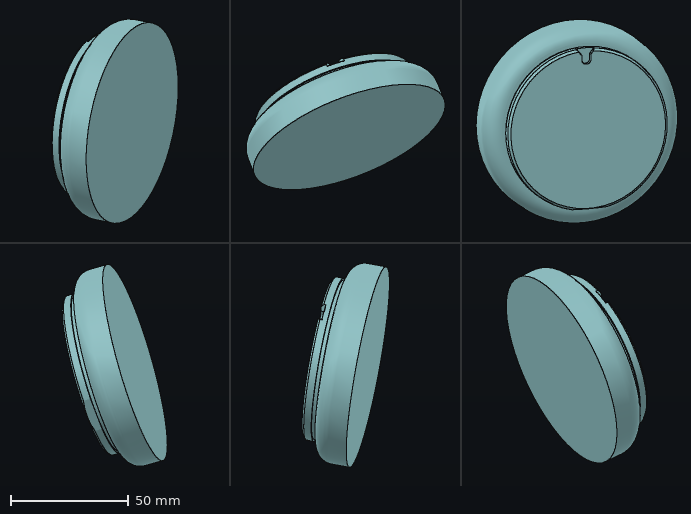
import cadquery as cq

outer_radius = 43.5
total_length = 21.3
rim_length = 7.9
edge_radius = 7.1

flange_radius = 35.4
flange_length = 4.3
flange_chamfer = 1.05
neck_radius = 34.5

notch_depth = 1.9
notch_width = 4.0
notch_mouth_width = 8.2
notch_flare_radius = 32.7
notch_bottom_radius = 28.6
turn_angle = 1.5


def turned_body():
    body_front = total_length - rim_length - edge_radius
    profile = (
        cq.Workplane("XY")
        .moveTo(0, 0)
        .lineTo(0, flange_radius - flange_chamfer)
        .lineTo(flange_chamfer, flange_radius)
        .lineTo(flange_length, flange_radius)
        .lineTo(flange_length, neck_radius)
        .lineTo(body_front, neck_radius)
        .lineTo(body_front, outer_radius - edge_radius)
        .radiusArc((body_front + edge_radius, outer_radius), edge_radius)
        .lineTo(total_length, outer_radius)
        .lineTo(total_length, 0)
        .close()
    )
    return profile.revolve(360, (0, 0, 0), (1, 0, 0))


def turned(cutter):
    return cutter.rotate((0, 0, 0), (1, 0, 0), -turn_angle)


def notch_cutter():
    half_width = notch_width / 2
    half_mouth = notch_mouth_width / 2
    arc_start = notch_bottom_radius + half_width
    open_end = flange_radius + 0.9
    cutter = (
        cq.Workplane("YZ")
        .moveTo(half_mouth, open_end)
        .lineTo(half_mouth, flange_radius)
        .lineTo(half_width, notch_flare_radius)
        .lineTo(half_width, arc_start)
        .threePointArc((0, notch_bottom_radius), (-half_width, arc_start))
        .lineTo(-half_width, notch_flare_radius)
        .lineTo(-half_mouth, flange_radius)
        .lineTo(-half_mouth, open_end)
        .close()
        .extrude(notch_depth)
    )
    return turned(cutter)


def flat_cutter():
    cutter = (
        cq.Workplane("XY")
        .box(flange_length, 2 * flange_radius, flange_radius, centered=(False, True, False))
        .translate((0, 0, -neck_radius - flange_radius))
    )
    return turned(cutter)


result = turned_body().cut(notch_cutter()).cut(flat_cutter())